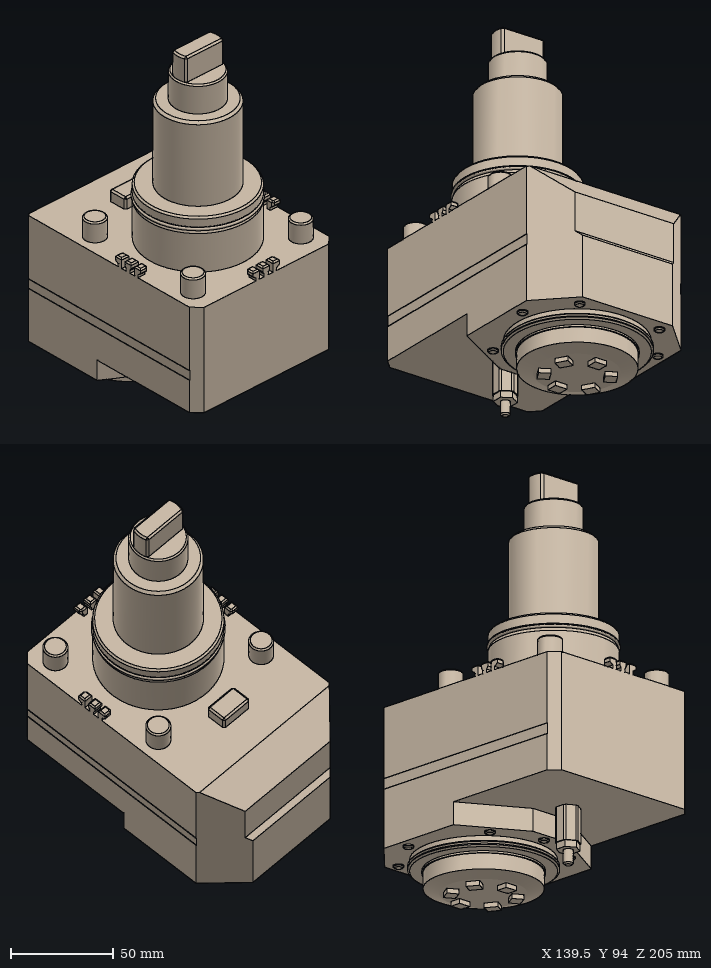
import cadquery as cq
import math


total_height = 205.0
total_length = 139.5
total_width = 94.0
half_width = total_width / 2

front_x = -90.6
back_x = front_x + total_length
recess_x = -88.0
step_z = -37.0
front_corner = 19.7
back_corner = 5.1
top_bevel = 15.8
back_floor_z = -61.3
front_floor_z = -73.2
nose_start_x = -22.0
nose_end_x = -1.8
nose_angle = 60.0
band_top_z = -37.0
band_bottom_z = -42.5
band_depth = 0.2

key_top_z = 112.0
key_bottom_z = 97.4
key_thickness = 10.2
key_radius = 13.7
key_chamfer = 1.0
neck_radius = 14.5
neck_chamfer = 0.8
shank_top_z = 80.5
shank_radius = 22.1
shank_chamfer = 1.5
collar_top_z = 31.8
collar_radius = 32.2
collar_chamfer = 1.0
shank_root_z = -20.5
seal_z = 24.8
seal_half_height = 0.72
seal_reach = 32.8
seal_groove_top_z = 26.0
relief_radius = 31.5
relief_end_z = 22.3

bolt_spacing_x = 70.0
bolt_spacing_y = 72.5
bolt_radius = 6.2
bolt_height = 11.7
bolt_chamfer = 0.8
block_x = -47.8
block_length = 11.5
block_width = 18.2
block_height = 6.8
block_chamfer = 1.0

clip_height = 5.7
clip_depth = 5.0
head_z = 3.0
stem_z = 1.6
head_half = 2.3
stem_half = 1.5
finger_inner = 4.5
finger_stem = 7.0
finger_outer = 9.0
clip_corner = 1.0
clip_chamfer = 0.8

total_bottom_z = key_top_z - total_height
spindle_x = -49.2
flange_radius = 36.3
rim_radius = 37.3
rim_top_z = -75.6
rim_bottom_z = -79.0
rim_groove_depth = 0.6
nut_radius = 29.7
nut_lip_radius = 30.3
nut_lip_z = -80.0
nut_edge_z = -88.2
nut_face_z = -90.6
nut_face_radius = 21.5
lug_count = 6
lug_distance = 16.5
lug_length = 6.2
lug_width = 7.0
screw_circle_radius = 42.5
screw_angles = (0, 40, -40, 104.4, -104.4, 145.2, -145.2)
screw_radius = 2.7
screw_height = 1.2
screw_chamfer = 0.6

pin_x = 10.2
hex_edge_z = -79.5
hex_end_z = -83.0
upper_hex_radius = 6.5
upper_hex_chamfer = 0.8
lower_hex_radius = 6.0
tip_radius = 2.5
tip_end_z = -90.6
tip_chamfer = 0.8


def cylinder(x, y, z_from, z_to, radius):
    return cq.Workplane("XY", origin=(x, y, z_from)).circle(radius).extrude(z_to - z_from)


def prism(outline, z_from, z_to):
    return cq.Workplane("XY", origin=(0, 0, z_from)).polyline(outline).close().extrude(z_to - z_from)


def make_housing():
    shoulder_x = front_x + front_corner
    tip_half_width = half_width - front_corner
    upper_outline = [
        (front_x, -tip_half_width),
        (shoulder_x, -half_width),
        (back_x - back_corner, -half_width),
        (back_x, -half_width + back_corner),
        (back_x, half_width - back_corner),
        (back_x - back_corner, half_width),
        (shoulder_x, half_width),
        (front_x, tip_half_width),
    ]
    nose_half_width = half_width - (nose_end_x - nose_start_x) * math.tan(math.radians(nose_angle))
    lower_outline = [
        (front_x, -tip_half_width),
        (shoulder_x, -half_width),
        (nose_start_x, -half_width),
        (nose_end_x, -nose_half_width),
        (nose_end_x, nose_half_width),
        (nose_start_x, half_width),
        (shoulder_x, half_width),
        (front_x, tip_half_width),
    ]
    housing = prism(upper_outline, back_floor_z, 0).union(prism(lower_outline, front_floor_z, back_floor_z))

    step_depth = recess_x - front_x
    front_cut = (
        cq.Workplane("XZ")
        .moveTo(front_x, 0)
        .lineTo(recess_x + top_bevel, 0)
        .lineTo(recess_x, -top_bevel)
        .lineTo(recess_x, step_z)
        .lineTo(front_x, step_z - step_depth)
        .close()
        .extrude(half_width, both=True)
    )
    housing = housing.cut(front_cut)

    for side in (1, -1):
        band = cq.Workplane("XY").box(total_length, 2 * band_depth, band_top_z - band_bottom_z)
        band_place = (front_x + total_length / 2, side * half_width, (band_top_z + band_bottom_z) / 2)
        housing = housing.cut(band.translate(band_place))
    return housing


def make_shank():
    profile = (
        cq.Workplane("XZ")
        .moveTo(0, shank_root_z)
        .lineTo(collar_radius, shank_root_z)
        .lineTo(collar_radius, relief_end_z)
        .lineTo(relief_radius, seal_z - seal_half_height)
        .threePointArc((seal_reach, seal_z), (relief_radius, seal_z + seal_half_height))
        .lineTo(relief_radius, seal_groove_top_z)
        .lineTo(collar_radius, seal_groove_top_z)
        .lineTo(collar_radius, collar_top_z - collar_chamfer)
        .lineTo(collar_radius - collar_chamfer, collar_top_z)
        .lineTo(shank_radius, collar_top_z)
        .lineTo(shank_radius, shank_top_z - shank_chamfer)
        .lineTo(shank_radius - shank_chamfer, shank_top_z)
        .lineTo(neck_radius, shank_top_z)
        .lineTo(neck_radius, key_bottom_z - neck_chamfer)
        .lineTo(neck_radius - neck_chamfer, key_bottom_z)
        .lineTo(0, key_bottom_z)
        .close()
    )
    return profile.revolve(360, (0, 0, 0), (0, 1, 0))


def make_key():
    key_height = key_top_z - key_bottom_z
    bar = (
        cq.Workplane("XY", origin=(0, 0, key_bottom_z))
        .rect(key_thickness, 2 * key_radius)
        .extrude(key_height)
    )
    key = bar.intersect(cylinder(0, 0, key_bottom_z, key_top_z, key_radius))
    return key.edges("|Z or >Z").chamfer(key_chamfer)


def make_bolts():
    return (
        cq.Workplane("XY")
        .rect(bolt_spacing_x, bolt_spacing_y, forConstruction=True)
        .vertices()
        .circle(bolt_radius)
        .extrude(bolt_height)
        .faces(">Z")
        .chamfer(bolt_chamfer)
    )


def make_block():
    block = cq.Workplane("XY", origin=(block_x, 0, 0)).rect(block_length, block_width).extrude(block_height)
    return block.edges("|Z or >Z").chamfer(block_chamfer)


def make_clip(reach, angle):
    """Three fingers flush with a side at the given reach from the shank axis; angle 0 is the -Y side."""
    middle = [
        (-stem_half, 0),
        (-stem_half, stem_z),
        (-head_half, head_z),
        (-head_half, clip_height),
        (head_half, clip_height),
        (head_half, head_z),
        (stem_half, stem_z),
        (stem_half, 0),
    ]
    right = [
        (finger_inner, 0),
        (finger_inner, clip_height),
        (finger_outer, clip_height),
        (finger_outer, head_z),
        (finger_stem, stem_z),
        (finger_stem, 0),
    ]
    left = [(-x, z) for x, z in right]
    clip = cq.Workplane("XZ", origin=(0, -reach + clip_depth, 0))
    for finger in (left, middle, right):
        clip = clip.polyline(finger).close()
    envelope = (
        cq.Workplane("XY", origin=(0, -reach + clip_depth / 2, 0))
        .rect(2 * finger_outer, clip_depth)
        .extrude(clip_height)
        .edges("|Z and >Y")
        .chamfer(clip_corner)
    )
    clip = clip.extrude(clip_depth).intersect(envelope).faces(">Z").chamfer(clip_chamfer)
    return clip.rotate((0, 0, 0), (0, 0, 1), angle)


def make_spindle_nose():
    rim_middle_z = (rim_top_z + rim_bottom_z) / 2
    rim_edge = (rim_top_z - rim_bottom_z) / 4
    profile = (
        cq.Workplane("XZ", origin=(spindle_x, 0, 0))
        .moveTo(0, back_floor_z)
        .lineTo(flange_radius, back_floor_z)
        .lineTo(flange_radius, rim_top_z)
        .lineTo(rim_radius, rim_top_z - rim_edge)
        .lineTo(rim_radius - rim_groove_depth, rim_middle_z)
        .lineTo(rim_radius, rim_bottom_z + rim_edge)
        .lineTo(flange_radius, rim_bottom_z)
        .lineTo(nut_lip_radius, rim_bottom_z)
        .lineTo(nut_lip_radius, nut_lip_z)
        .lineTo(nut_radius, nut_lip_z)
        .lineTo(nut_radius, nut_edge_z)
        .lineTo(nut_face_radius, nut_face_z)
        .lineTo(0, nut_face_z)
        .close()
    )
    nose = profile.revolve(360, (0, 0, 0), (0, 1, 0))
    lugs = (
        cq.Workplane("XY", origin=(spindle_x, 0, total_bottom_z))
        .polarArray(lug_distance, 0, 360, lug_count)
        .rect(lug_length, lug_width)
        .extrude(nut_edge_z - total_bottom_z)
    )
    return nose.union(lugs)


def make_screws():
    screws = cq.Workplane("XY")
    for angle in screw_angles:
        x = spindle_x + screw_circle_radius * math.cos(math.radians(angle))
        y = screw_circle_radius * math.sin(math.radians(angle))
        screw = cylinder(x, y, front_floor_z - screw_height, front_floor_z, screw_radius)
        screws = screws.union(screw.faces("<Z").chamfer(screw_chamfer))
    return screws


def make_pin():
    upper = (
        cq.Workplane("XY", origin=(pin_x, 0, hex_edge_z))
        .polygon(6, 2 * upper_hex_radius)
        .extrude(back_floor_z - hex_edge_z)
        .edges("|Z")
        .chamfer(upper_hex_chamfer)
    )
    lower = (
        cq.Workplane("XY", origin=(pin_x, 0, hex_end_z))
        .polygon(6, 2 * lower_hex_radius)
        .extrude(hex_edge_z - hex_end_z)
    )
    tip = cylinder(pin_x, 0, tip_end_z, hex_end_z, tip_radius).faces("<Z").chamfer(tip_chamfer)
    return upper.union(lower).union(tip)


result = make_housing()
for feature in (make_shank(), make_key(), make_bolts(), make_block()):
    result = result.union(feature)
for clip_reach, clip_angle in ((half_width, 0), (back_x, 90), (half_width, 180)):
    result = result.union(make_clip(clip_reach, clip_angle))
for feature in (make_spindle_nose(), make_screws(), make_pin()):
    result = result.union(feature)